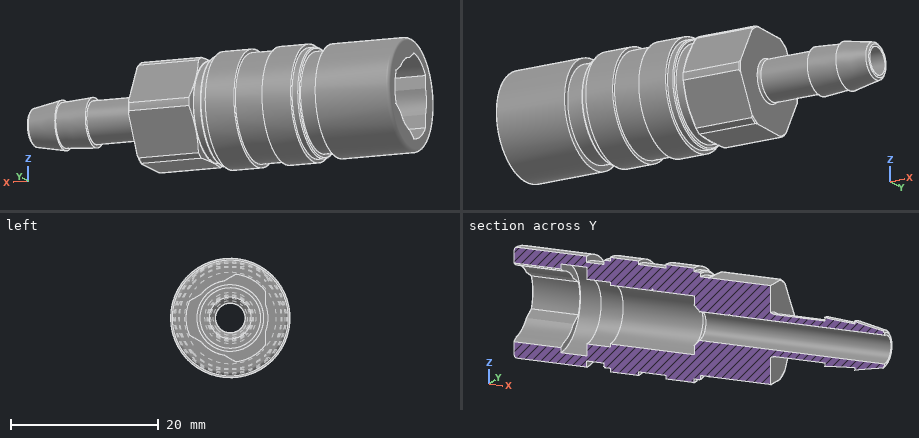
import cadquery as cq
import math

TOTAL_LENGTH = 55.5
MOUTH_FILLET = 0.5
SLEEVE_END = 10.95
COLLAR_START = 13.45
FIRST_BAND_START = 14.45
BAND_WIDTH = 4.2
SECOND_BAND_START = 22.75
COLLAR_END = 27.95
COLLAR_CHAMFER = 0.15
HEX_START = 29.2
HEX_END = 38.45
STEM_FLARE_LENGTH = 0.5
FIRST_BARB_START = 46.5
SECOND_BARB_START = 51.0
TIP_CHAMFER = 0.3

SLEEVE_DIAMETER = 15.7
NECK_DIAMETER = 14.0
COLLAR_DIAMETER = 15.2
BAND_DIAMETER = 16.2
STEM_DIAMETER = 6.0
STEM_FLARE_DIAMETER = 6.3
BARB_DIAMETER = 6.95
BARB_WAIST_DIAMETER = 6.25
TIP_DIAMETER = 5.2

HEX_ACROSS_FLATS = 14.0
HEX_CORNER_DIAMETER = 15.55
HEX_CHAMFER_DEPTH = 0.9
HEX_CHAMFER_LENGTH = 0.35
HEX_REAR_CHAMFER = 0.15

SOCKET_DIAMETER = 12.0
SOCKET_FLAT_OFFSET = 4.8
SOCKET_FLAT_COUNT = 3
SOCKET_CORE_DIAMETER = 10.2
SOCKET_DEPTH = 7.05
RELIEF_DIAMETER = 12.45
RELIEF_DEPTH = 10.95
SEAT_DIAMETER = 9.05
SEAT_DEPTH = 14.45
INNER_DIAMETER = 8.2
INNER_DEPTH = 27.0
BORE_CONE_DIAMETER = 5.65
BORE_DIAMETER = 4.0


def cylinder(start, end, diameter):
    """Solid cylinder on the X axis between two stations."""
    return cq.Workplane("YZ", origin=(start, 0, 0)).circle(diameter / 2).extrude(end - start)


def cone(start, end, start_diameter, end_diameter):
    """Solid cone frustum on the X axis between two stations."""
    profile = [
        (start, 0),
        (start, start_diameter / 2),
        (end, end_diameter / 2),
        (end, 0),
    ]
    return cq.Workplane("XY").polyline(profile).close().revolve(360, (0, 0, 0), (1, 0, 0))


def make_sleeve():
    """Socket sleeve, grooved neck and the collar with its two grip bands."""
    sleeve = cylinder(0, SLEEVE_END, SLEEVE_DIAMETER).faces("<X").fillet(MOUTH_FILLET)
    neck = cylinder(SLEEVE_END, HEX_START, NECK_DIAMETER)
    collar = cylinder(COLLAR_START, COLLAR_END, COLLAR_DIAMETER)
    collar = collar.faces("<X or >X").chamfer(COLLAR_CHAMFER)
    body = sleeve.union(neck).union(collar)
    for band_start in (FIRST_BAND_START, SECOND_BAND_START):
        body = body.union(cylinder(band_start, band_start + BAND_WIDTH, BAND_DIAMETER))
    return body


def make_hexagon():
    """Wrench hexagon, flats facing +Z and -Z, with turned corners and chamfered ends."""
    across_corners = HEX_ACROSS_FLATS / math.cos(math.pi / 6)
    hexagon = (
        cq.Workplane("YZ", origin=(HEX_START, 0, 0))
        .polygon(6, across_corners)
        .extrude(HEX_END - HEX_START)
    )
    envelope = cylinder(HEX_START, HEX_END, HEX_CORNER_DIAMETER)
    envelope = envelope.faces("<X").chamfer(HEX_CHAMFER_LENGTH, HEX_CHAMFER_DEPTH)
    envelope = envelope.faces(">X").chamfer(HEX_REAR_CHAMFER)
    return hexagon.intersect(envelope)


def make_hose_stem():
    """Hose stem with a flared root and two barbs."""
    flare_end = HEX_END + STEM_FLARE_LENGTH
    flare = cone(HEX_END, flare_end, STEM_FLARE_DIAMETER, STEM_DIAMETER)
    stem = cylinder(flare_end, FIRST_BARB_START, STEM_DIAMETER)
    first_barb = cone(FIRST_BARB_START, SECOND_BARB_START, BARB_DIAMETER, BARB_WAIST_DIAMETER)
    second_barb = cone(SECOND_BARB_START, TOTAL_LENGTH, BARB_DIAMETER, TIP_DIAMETER)
    second_barb = second_barb.faces(">X").chamfer(TIP_CHAMFER)
    return flare.union(stem).union(first_barb).union(second_barb)


def make_socket():
    """Keyed socket: a round pocket with three flats, each relieved by a smaller bore."""
    socket = cylinder(0, SOCKET_DEPTH, SOCKET_DIAMETER)
    for index in range(SOCKET_FLAT_COUNT):
        flat = (
            cq.Workplane("XY")
            .box(SOCKET_DEPTH, SOCKET_DIAMETER, SOCKET_DIAMETER, centered=(False, False, True))
            .translate((0, SOCKET_FLAT_OFFSET, 0))
            .rotate((0, 0, 0), (1, 0, 0), 180 + index * 360 / SOCKET_FLAT_COUNT)
        )
        socket = socket.cut(flat)
    return socket.union(cylinder(0, SOCKET_DEPTH, SOCKET_CORE_DIAMETER))


def make_bore():
    """Round relief behind the socket and the stepped bore through to the hose end."""
    cone_end = INNER_DEPTH + (BORE_CONE_DIAMETER - BORE_DIAMETER) / 2
    relief = cylinder(SOCKET_DEPTH, RELIEF_DEPTH, RELIEF_DIAMETER)
    seat = cylinder(RELIEF_DEPTH, SEAT_DEPTH, SEAT_DIAMETER)
    inner = cylinder(SEAT_DEPTH, INNER_DEPTH, INNER_DIAMETER)
    lead_in = cone(INNER_DEPTH, cone_end, BORE_CONE_DIAMETER, BORE_DIAMETER)
    through = cylinder(cone_end, TOTAL_LENGTH, BORE_DIAMETER)
    return relief.union(seat).union(inner).union(lead_in).union(through)


outside = make_sleeve().union(make_hexagon()).union(make_hose_stem())
result = outside.cut(make_socket()).cut(make_bore())